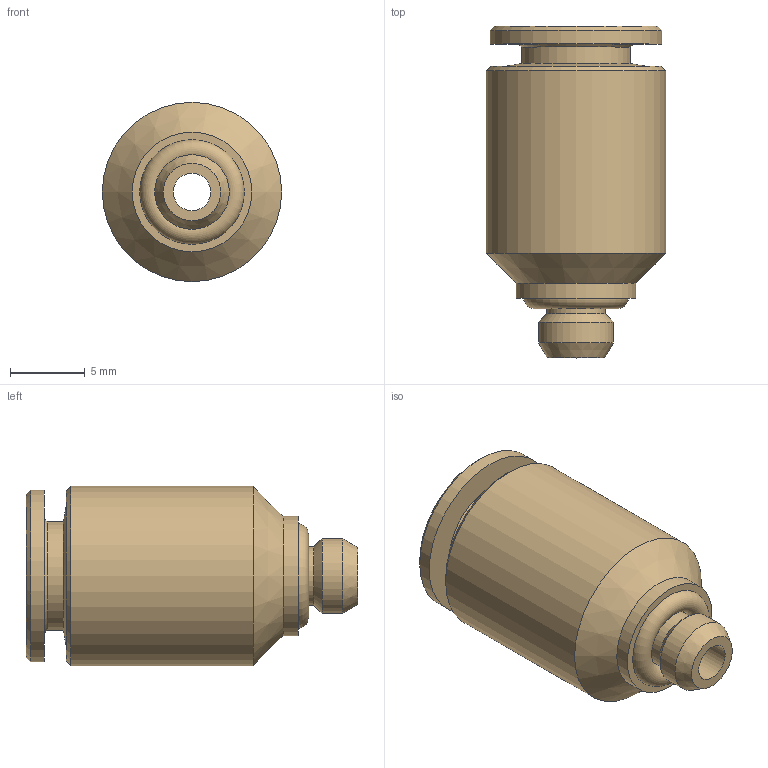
import cadquery as cq
import math

overall_length = 22.2
bore_radius = 1.25

barb_radius = 2.5
barb_lead_length = 1.0
barb_lead_angle = math.radians(30)
barb_land_end = 2.4
neck_radius = 1.95

ring_outer_radius = 3.5
ring_tube_radius = 0.75
ring_bottom = 3.3

flange_radius = 4.0
flange_start = 4.0
flange_thickness = 1.0
body_radius = 6.0
body_end = 19.5
edge_chamfer = 0.3

end_cone_rise = 0.2
end_cone_angle = math.radians(10)

stem_radius = 3.65
stem_chamfer = 0.2
collar_radius = 5.75
collar_thickness = 1.2


def revolve_about_y(profile):
    """Turn a half-section (X = radius) fully around the Y axis."""
    return profile.revolve(360, (0, 0, 0), (0, 1, 0))


def make_barb():
    tip_radius = barb_radius - barb_lead_length * math.tan(barb_lead_angle)
    neck_start = barb_land_end + barb_radius - neck_radius
    profile = (
        cq.Workplane("XY")
        .lineTo(tip_radius, 0)
        .lineTo(barb_radius, barb_lead_length)
        .lineTo(barb_radius, barb_land_end)
        .lineTo(neck_radius, neck_start)
        .lineTo(neck_radius, flange_start)
        .lineTo(0, flange_start)
        .close()
    )
    return revolve_about_y(profile)


def make_sealing_ring():
    ring_center = (ring_outer_radius - ring_tube_radius, ring_bottom + ring_tube_radius)
    tube = cq.Workplane("XY").moveTo(*ring_center).circle(ring_tube_radius)
    return revolve_about_y(tube)


def make_body():
    flange_end = flange_start + flange_thickness
    shoulder = flange_end + body_radius - flange_radius
    cone_end = body_end + end_cone_rise
    cone_base_radius = stem_radius + end_cone_rise / math.tan(end_cone_angle)
    profile = (
        cq.Workplane("XY")
        .moveTo(0, flange_start)
        .lineTo(flange_radius, flange_start)
        .lineTo(flange_radius, flange_end)
        .lineTo(body_radius, shoulder)
        .lineTo(body_radius, body_end - edge_chamfer)
        .lineTo(body_radius - edge_chamfer, body_end)
        .lineTo(cone_base_radius, body_end)
        .lineTo(stem_radius, cone_end)
        .lineTo(0, cone_end)
        .close()
    )
    return revolve_about_y(profile)


def make_release_collar():
    collar_start = overall_length - collar_thickness
    profile = (
        cq.Workplane("XY")
        .moveTo(0, body_end)
        .lineTo(stem_radius, body_end)
        .lineTo(stem_radius, collar_start - stem_chamfer)
        .lineTo(stem_radius + stem_chamfer, collar_start)
        .lineTo(collar_radius, collar_start)
        .lineTo(collar_radius, overall_length - edge_chamfer)
        .lineTo(collar_radius - edge_chamfer, overall_length)
        .lineTo(0, overall_length)
        .close()
    )
    return revolve_about_y(profile)


def make_bore():
    profile = (
        cq.Workplane("XY")
        .lineTo(bore_radius, 0)
        .lineTo(bore_radius, overall_length)
        .lineTo(0, overall_length)
        .close()
    )
    return revolve_about_y(profile)


fitting = make_body().union(make_barb()).union(make_sealing_ring()).union(make_release_collar())
result = fitting.cut(make_bore())